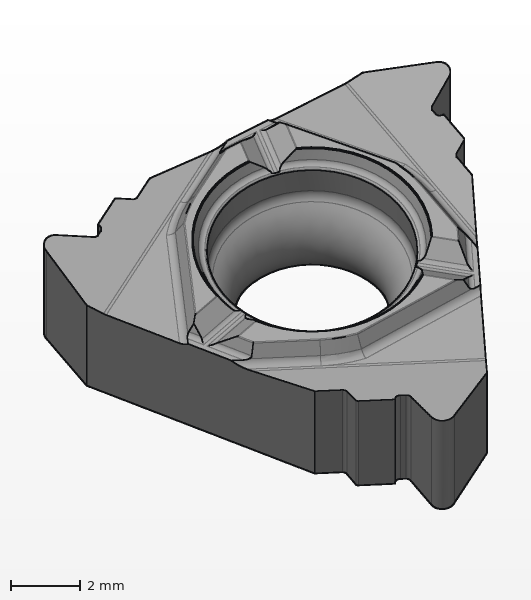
import cadquery as cq
import math

tooth_count = 3
tooth_pitch = 360 / tooth_count
cutter_reach = 20.0

boss_top = 4.10
deck_height = 3.52
shelf_height = 3.64
overrun = 1.0
clearance_top = boss_top + overrun

top_edge_radius = 0.04

inscribed_radius = 9.525 / 2
flank_slope = math.tan(math.radians(60))
tooth_tip_y = 6.91
tooth_tip_radius = 0.38
tooth_center_x = -3.37
valley_y = 5.71
valley_radius = 0.15
crest_y = 5.88
crest_left_x = -2.05
crest_right_x = -0.94
crest_radius = 0.08
shoulder_y = 5.36
shoulder_radius = 0.15

rake_start_y = 4.30
rake_angle = 10.0
rake_blend_radius = 0.5

boss_wall_angle = 60.0
boss_round_radius = 3.75
boss_tangent_angle = 90.0
boss_flat_distance = 3.62
boss_flat_angle = 122.0
boss_foot_radius = 0.30

facet_angle = 180.0
facet_inset = 0.29
facet_foot_radius = 0.20

groove_angle = 45.0
groove_offset = 0.08
groove_floor_width = 0.28
groove_wall_angle = 38.0
groove_foot_radius = 0.25

throat_radius = 2.20
seat_curve_radius = 1.8
seat_curve_center_z = 0.95
socket_radius = 3.03
socket_corner_radius = 0.40
socket_edge_radius = 0.07
ledge_height = 3.65
ledge_foot_radius = 0.20
recess_top_radius = 3.44
recess_wall_angle = 25.0


def rounded_outline(plane, corners):
    """Closed outline through (x, y, radius) corners, each rounded by its own radius."""
    path = None
    for index, (x, y, radius) in enumerate(corners):
        corner = cq.Vector(x, y)
        before = cq.Vector(*corners[index - 1][:2])
        after = cq.Vector(*corners[(index + 1) % len(corners)][:2])
        to_before = (before - corner).normalized()
        to_after = (after - corner).normalized()
        half_angle = to_before.getAngle(to_after) / 2
        setback = radius / math.tan(half_angle)
        start = (corner + to_before * setback).toTuple()[:2]
        path = cq.Workplane(plane).moveTo(*start) if path is None else path.lineTo(*start)
        if radius > 0:
            bisector = (to_before + to_after).normalized()
            middle = corner + bisector * (radius / math.sin(half_angle) - radius)
            end = corner + to_after * setback
            path = path.threePointArc(middle.toTuple()[:2], end.toTuple()[:2])
    return path.close()


def around_axis(shape):
    """The three copies of a shape, one per tooth."""
    return [shape.rotate((0, 0, 0), (0, 0, 1), k * tooth_pitch) for k in range(tooth_count)]


def tooth_corners():
    """Corners of one tooth, counter-clockwise, from its leading side to its trailing side."""
    apex_y = tooth_tip_y + tooth_tip_radius
    side_angle = math.radians(180 - tooth_pitch)
    shoulder_x = (inscribed_radius - shoulder_y * math.sin(side_angle)) / math.cos(side_angle)
    shoulder_foot_x = crest_right_x + (crest_y - shoulder_y) / flank_slope
    valley_left_x = tooth_center_x + (apex_y - valley_y) / flank_slope
    flank_end_y = apex_y - (tooth_center_x + inscribed_radius) * flank_slope
    return [
        (shoulder_x, shoulder_y, 0),
        (shoulder_foot_x, shoulder_y, shoulder_radius),
        (crest_right_x, crest_y, crest_radius),
        (crest_left_x, crest_y, 0),
        (crest_left_x, valley_y, valley_radius),
        (valley_left_x, valley_y, valley_radius),
        (tooth_center_x, apex_y, tooth_tip_radius),
        (-inscribed_radius, flank_end_y, 0),
    ]


def make_insert_prism():
    """Prism with the full toothed outline, used to trim the body."""
    corners = []
    for k in range(tooth_count):
        a = math.radians(k * tooth_pitch)
        for x, y, radius in tooth_corners():
            turned_x = x * math.cos(a) - y * math.sin(a)
            turned_y = x * math.sin(a) + y * math.cos(a)
            corners.append((turned_x, turned_y, radius))
    return rounded_outline("XY", corners).extrude(boss_top)


def make_rake_wedge():
    """Material above the deck under one sloping rake face."""
    rise_end_y = tooth_tip_y + overrun
    rise_end_z = deck_height + (rise_end_y - rake_start_y) * math.tan(math.radians(rake_angle))
    corners = [
        (rake_start_y - overrun, deck_height, 0),
        (rake_start_y, deck_height, rake_blend_radius),
        (rise_end_y, rise_end_z, 0),
        (rise_end_y, deck_height - overrun, 0),
        (rake_start_y - overrun, deck_height - overrun, 0),
    ]
    return rounded_outline("YZ", corners).extrude(cutter_reach / 2, both=True)


def wall_profile(foot_distance, floor_height, foot_radius):
    """Space outside a sloping boss wall and above a floor, with the foot and top edge rounded."""
    wall_run = (boss_top - floor_height) / math.tan(math.radians(boss_wall_angle))
    top_distance = foot_distance - wall_run
    corners = [
        (cutter_reach, floor_height, 0),
        (foot_distance, floor_height, foot_radius),
        (top_distance, boss_top, top_edge_radius),
        (top_distance - top_edge_radius, boss_top, 0),
        (top_distance - top_edge_radius, clearance_top, 0),
        (cutter_reach, clearance_top, 0),
    ]
    return rounded_outline("XZ", corners)


def straight_wall_cutter(foot_distance, floor_height, foot_radius, facing_angle):
    """Cutter for a straight boss wall whose outward normal points along facing_angle."""
    cutter = wall_profile(foot_distance, floor_height, foot_radius).extrude(cutter_reach, both=True)
    return cutter.rotate((0, 0, 0), (0, 0, 1), facing_angle)


def make_boss_cutters():
    """Cutters for the walls of one third of the boss: tangent wall, round wall, flat wall and facet."""
    spread = (boss_top - deck_height) / math.tan(math.radians(boss_wall_angle))
    round_foot = boss_round_radius + spread
    flat_foot = boss_flat_distance + spread
    facet_foot = inscribed_radius - facet_inset
    round_span = boss_flat_angle - boss_tangent_angle
    round_wall = (
        wall_profile(round_foot, deck_height, boss_foot_radius)
        .revolve(round_span, (0, 0, 0), (0, 1, 0))
        .rotate((0, 0, 0), (0, 0, 1), boss_tangent_angle)
    )
    return [
        straight_wall_cutter(round_foot, deck_height, boss_foot_radius, boss_tangent_angle),
        round_wall,
        straight_wall_cutter(flat_foot, deck_height, boss_foot_radius, boss_flat_angle),
        straight_wall_cutter(facet_foot, shelf_height, facet_foot_radius, facet_angle),
    ]


def make_groove_cutter():
    """Radial V groove with a rounded floor."""
    half_floor = groove_floor_width / 2
    half_top = half_floor + (boss_top - shelf_height) / math.tan(math.radians(groove_wall_angle))
    left = groove_offset - half_top
    right = groove_offset + half_top
    corners = [
        (groove_offset - half_floor, shelf_height, groove_foot_radius),
        (groove_offset + half_floor, shelf_height, groove_foot_radius),
        (right, boss_top, top_edge_radius),
        (right + top_edge_radius, boss_top, 0),
        (right + top_edge_radius, clearance_top, 0),
        (left - top_edge_radius, clearance_top, 0),
        (left - top_edge_radius, boss_top, 0),
        (left, boss_top, top_edge_radius),
    ]
    cutter = rounded_outline("YZ", corners).extrude(cutter_reach)
    return cutter.rotate((0, 0, 0), (0, 0, 1), groove_angle)


def make_recess_cutter():
    """Shallow conical recess around the socket, with a filleted ledge."""
    wall_run = (boss_top - ledge_height) * math.tan(math.radians(recess_wall_angle))
    corners = [
        (0, ledge_height, 0),
        (recess_top_radius - wall_run, ledge_height, ledge_foot_radius),
        (recess_top_radius, boss_top, top_edge_radius),
        (recess_top_radius + top_edge_radius, boss_top, 0),
        (recess_top_radius + top_edge_radius, clearance_top, 0),
        (0, clearance_top, 0),
    ]
    return rounded_outline("XZ", corners).revolve(360, (0, 0, 0), (0, 1, 0))


def make_bore_cutter():
    """Screw bore: convex seat curve flaring to the base, concave corner and cylindrical socket."""
    seat_center_x = throat_radius + seat_curve_radius
    corner_center_x = socket_radius - socket_corner_radius
    center_distance = seat_curve_radius + socket_corner_radius
    tilt = math.acos((seat_center_x - corner_center_x) / center_distance)
    flare = math.asin(seat_curve_center_z / seat_curve_radius)
    corner_center_z = seat_curve_center_z + center_distance * math.sin(tilt)

    def on_seat(angle):
        x = seat_center_x - seat_curve_radius * math.cos(angle)
        return (x, seat_curve_center_z + seat_curve_radius * math.sin(angle))

    def on_corner(angle):
        x = corner_center_x + socket_corner_radius * math.cos(angle)
        return (x, corner_center_z - socket_corner_radius * math.sin(angle))

    edge_center_x = socket_radius + socket_edge_radius
    edge_center_z = ledge_height - socket_edge_radius
    edge_middle = socket_edge_radius * math.sqrt(0.5)
    profile = (
        cq.Workplane("XZ")
        .lineTo(*on_seat(-flare))
        .threePointArc(on_seat(0), on_seat(tilt))
        .threePointArc(on_corner(tilt / 2), on_corner(0))
        .lineTo(socket_radius, edge_center_z)
        .threePointArc((edge_center_x - edge_middle, edge_center_z + edge_middle), (edge_center_x, ledge_height))
        .lineTo(edge_center_x, boss_top)
        .lineTo(0, boss_top)
        .close()
    )
    return profile.revolve(360, (0, 0, 0), (0, 1, 0))


def make_insert():
    """Trimmed disc with boss, grooves, recess, three rake faces and the screw bore."""
    body = cq.Workplane("XY").circle(cutter_reach / 2).extrude(boss_top)
    for cutter in make_boss_cutters() + [make_groove_cutter()]:
        for copy in around_axis(cutter):
            body = body.cut(copy)
    body = body.cut(make_recess_cutter())
    for wedge in around_axis(make_rake_wedge()):
        body = body.union(wedge)
    return body.intersect(make_insert_prism()).cut(make_bore_cutter())


result = make_insert()